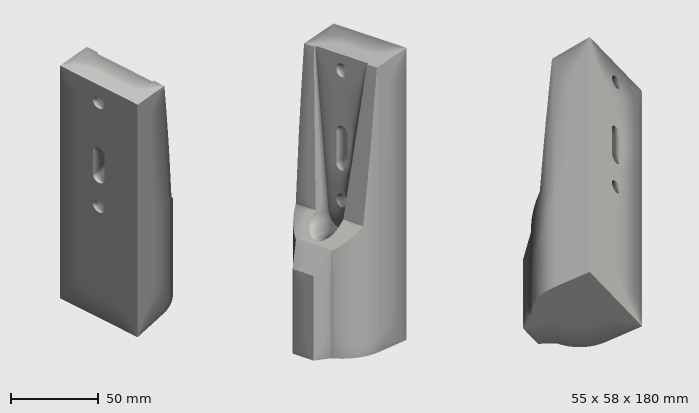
import cadquery as cq
import math

height = 180.0
width = 55.0
half_width = width / 2
total_depth = 58.0

dome_start_depth = 24.7
dome_radius = half_width
rib_root_half_width = 13.5
rib_tip_half_width = 8.0
rib_root_depth = 48.5

top_back_depth = 25.5
top_back_height = 175.7
ridge_depth = 35.1
ridge_height = 80.5
ramp_break_height = 66.6
rib_top_height = 52.2

trough_floor_depth = 24.3
trough_radius = 10.3
trough_bottom_height = 68.2
trough_top_half_width = 20.5

hole_diameter = 8.3
hole_heights = (166.1, 85.9)
slot_length = 27.4
slot_height = 118.0


def extrude_along_y(sketch, start, end):
    """Extrude an XZ sketch between two depths."""
    return sketch.extrude(-(end - start)).translate((0, start, 0))


def make_body():
    """Vertical prism of the block and dome, joined to the rib."""
    block = cq.Workplane("XY").moveTo(-half_width, 0)
    block = block.lineTo(half_width, 0).lineTo(half_width, dome_start_depth)
    block = block.threePointArc(
        (0, dome_start_depth + dome_radius), (-half_width, dome_start_depth)
    )
    block = block.close().extrude(height)
    rib = cq.Workplane("XY").polyline([
        (-rib_root_half_width, dome_start_depth),
        (rib_root_half_width, dome_start_depth),
        (rib_root_half_width, rib_root_depth),
        (rib_tip_half_width, total_depth),
        (-rib_tip_half_width, total_depth),
        (-rib_root_half_width, rib_root_depth),
    ]).close().extrude(height)
    return block.union(rib)


def make_side_profile():
    """Side silhouette extruded across the full width."""
    profile = cq.Workplane("YZ").polyline([
        (0, 0),
        (total_depth, 0),
        (total_depth, rib_top_height),
        (rib_root_depth, ramp_break_height),
        (ridge_depth, ridge_height),
        (top_back_depth, top_back_height),
        (0, height),
    ]).close()
    return profile.extrude(half_width, both=True)


def make_trough():
    """Trough whose straight sides are tangent to its round lower end."""
    center_height = trough_bottom_height + trough_radius
    rise = height - center_height
    reach = math.hypot(trough_top_half_width, rise)
    tangent_angle = math.atan2(rise, trough_top_half_width) - math.acos(trough_radius / reach)
    tangent_x = trough_radius * math.cos(tangent_angle)
    tangent_z = center_height + trough_radius * math.sin(tangent_angle)
    outline = cq.Workplane("XZ").moveTo(-trough_top_half_width, height)
    outline = outline.lineTo(-tangent_x, tangent_z)
    outline = outline.threePointArc((0, trough_bottom_height), (tangent_x, tangent_z))
    outline = outline.lineTo(trough_top_half_width, height).close()
    return extrude_along_y(outline, trough_floor_depth, total_depth)


def make_mounting_openings():
    """Two round holes and a vertical slot through the whole depth."""
    hole_points = [(0, z) for z in hole_heights]
    holes = cq.Workplane("XZ").pushPoints(hole_points).circle(hole_diameter / 2)
    slot = cq.Workplane("XZ").center(0, slot_height).slot2D(slot_length, hole_diameter, 90)
    return extrude_along_y(holes, 0, total_depth).union(extrude_along_y(slot, 0, total_depth))


result = make_body().intersect(make_side_profile())
result = result.cut(make_trough()).cut(make_mounting_openings())